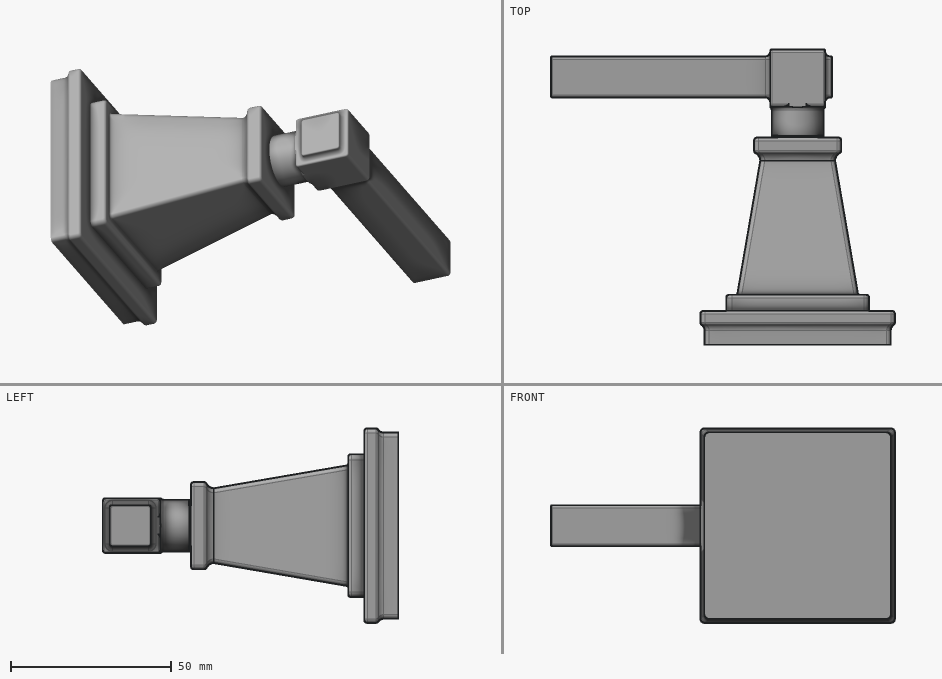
import cadquery as cq
import math


FLANGE_HALF = 30.4
PLINTH_HALF = 29.1
PLINTH_FLARE_START = 4.6
FLANGE_TOP = 10.6
STEP_HALF = 22.3
STEP_TOP = 15.7
TAPER_FOOT_HALF = 18.9
THROAT_HALF = 11.7
THROAT_LEVEL = 57.5
COLLAR_HALF = 13.6
COLLAR_TOP = 64.7

SPINDLE_RADIUS = 6.3
STEM_RADIUS = 8.2
STEM_START = 65.3
STEM_COVE = 0.9

HUB_HALF = 8.6
HUB_BOTTOM = 74.3
HUB_TOP = 92.2
LEVER_HALF = 6.4
LEVER_AXIS = HUB_TOP - HUB_HALF
OVERALL_LENGTH = 107.4
LEVER_TIP = FLANGE_HALF - OVERALL_LENGTH
LEVER_BACK = 10.7
LEVER_COVE = 1.5

TAPER_FOOT_COVE = 0.4
CORNER_RADIUS = 1.4
STEP_CORNER_RADIUS = 1.7
RIM_RADIUS = 1.0
HUB_SIDE_RADIUS = 0.5
LEVER_EDGE_RADIUS = 0.9
LEVER_END_RADIUS = 0.4
PLINTH_COVE = 2.0
COLLAR_COVE = 2.6

FLARE_INTERVALS = 4

SELECTION_MARGIN = 0.1


def square_block(half, bottom, top):
    """Square prism centred on the Y axis."""
    return cq.Workplane("XZ", origin=(0, bottom, 0)).rect(2 * half, 2 * half).extrude(bottom - top)


def rounded_block(half, bottom, top, corner_radius):
    """Square prism with rounded upright corners."""
    return square_block(half, bottom, top).edges("|Y").fillet(corner_radius)


def rimmed_block(half, bottom, top, corner_radius):
    """Rounded prism whose edge on the lever side is rounded too."""
    return rounded_block(half, bottom, top, corner_radius).faces(">Y").edges().fillet(RIM_RADIUS)


def curved_layer(section_sizes):
    """Smooth solid through rounded square sections, each given as (half width, level)."""
    sections = [
        rounded_block(half, level, level + 1.1, CORNER_RADIUS).faces("<Y").wires().val()
        for half, level in section_sizes
    ]
    return cq.Workplane(cq.Solid.makeLoft(sections))


def flared_flange(small_half, large_half, flare_start, top, cove):
    """Square flange on an S-shaped flare: a concave cove running into a convex rim rounding."""
    radius_sum = cove + RIM_RADIUS
    end_angle = math.acos(1 - (large_half - small_half) / radius_sum)
    flare_end = flare_start + radius_sum * math.sin(end_angle)
    angles = [end_angle * i / FLARE_INTERVALS for i in range(FLARE_INTERVALS + 1)]

    cove_sections = [
        (small_half + cove * (1 - math.cos(angle)), flare_start + cove * math.sin(angle))
        for angle in angles
    ]
    rim_sections = [
        (large_half - RIM_RADIUS * (1 - math.cos(angle)), flare_end - RIM_RADIUS * math.sin(angle))
        for angle in reversed(angles)
    ]
    flange = rimmed_block(large_half, flare_end, top, CORNER_RADIUS)
    return curved_layer(cove_sections).union(curved_layer(rim_sections)).union(flange)


def make_stepped_taper():
    """Square step carrying the tapered body, with a small cove around the foot of the taper."""
    step = rimmed_block(STEP_HALF, FLANGE_TOP, STEP_TOP, STEP_CORNER_RADIUS)
    height = THROAT_LEVEL - STEP_TOP
    taper_angle = math.degrees(math.atan((TAPER_FOOT_HALF - THROAT_HALF) / height))
    taper = (
        cq.Workplane("XZ", origin=(0, STEP_TOP, 0))
        .rect(2 * TAPER_FOOT_HALF, 2 * TAPER_FOOT_HALF)
        .extrude(-height, taper=taper_angle)
    )
    taper = taper.edges("not(#Y)").fillet(CORNER_RADIUS)
    foot_reach = TAPER_FOOT_HALF + SELECTION_MARGIN
    foot = cq.selectors.BoxSelector(
        (-foot_reach, STEP_TOP - SELECTION_MARGIN, -foot_reach),
        (foot_reach, STEP_TOP + SELECTION_MARGIN, foot_reach),
    )
    return step.union(taper).edges(foot).fillet(TAPER_FOOT_COVE)


def make_stem():
    """Thin spindle and wider stem, coved out into the hub's rounded edges and trimmed to its width."""
    cove_end = HUB_BOTTOM + RIM_RADIUS
    stem = (
        cq.Workplane("XY")
        .moveTo(0, COLLAR_TOP)
        .lineTo(SPINDLE_RADIUS, COLLAR_TOP)
        .lineTo(SPINDLE_RADIUS, STEM_START)
        .lineTo(STEM_RADIUS, STEM_START)
        .lineTo(STEM_RADIUS, HUB_BOTTOM - STEM_COVE)
        .radiusArc((STEM_RADIUS + STEM_COVE, HUB_BOTTOM), STEM_COVE)
        .lineTo(STEM_RADIUS + STEM_COVE, cove_end)
        .lineTo(0, cove_end)
        .close()
        .revolve(360, (0, 0, 0), (0, 1, 0))
    )
    return stem.intersect(square_block(HUB_HALF, COLLAR_TOP, cove_end))


def make_hub():
    """Block at the stem's end, with all its edges rounded."""
    return (
        square_block(HUB_HALF, HUB_BOTTOM, HUB_TOP)
        .edges("|X").fillet(RIM_RADIUS)
        .faces("<X or >X").edges().fillet(HUB_SIDE_RADIUS)
    )


def make_lever():
    """Square bar along X, passing through the hub."""
    return (
        cq.Workplane("YZ", origin=(LEVER_TIP, LEVER_AXIS, 0))
        .rect(2 * LEVER_HALF, 2 * LEVER_HALF)
        .extrude(LEVER_BACK - LEVER_TIP)
        .edges("|X").fillet(LEVER_EDGE_RADIUS)
        .faces("<X or >X").edges().fillet(LEVER_END_RADIUS)
    )


def make_handle():
    """Hub and lever, with a cove where the lever leaves the hub on each side."""
    reach_x = HUB_HALF + SELECTION_MARGIN
    reach_yz = LEVER_HALF + SELECTION_MARGIN
    lever_joints = cq.selectors.BoxSelector(
        (-reach_x, LEVER_AXIS - reach_yz, -reach_yz),
        (reach_x, LEVER_AXIS + reach_yz, reach_yz),
    )
    return make_hub().union(make_lever()).edges(lever_joints).fillet(LEVER_COVE)


result = (
    rounded_block(PLINTH_HALF, 0, PLINTH_FLARE_START, CORNER_RADIUS)
    .union(flared_flange(PLINTH_HALF, FLANGE_HALF, PLINTH_FLARE_START, FLANGE_TOP, PLINTH_COVE))
    .union(make_stepped_taper())
    .union(flared_flange(THROAT_HALF, COLLAR_HALF, THROAT_LEVEL, COLLAR_TOP, COLLAR_COVE))
    .union(make_stem())
    .union(make_handle())
)